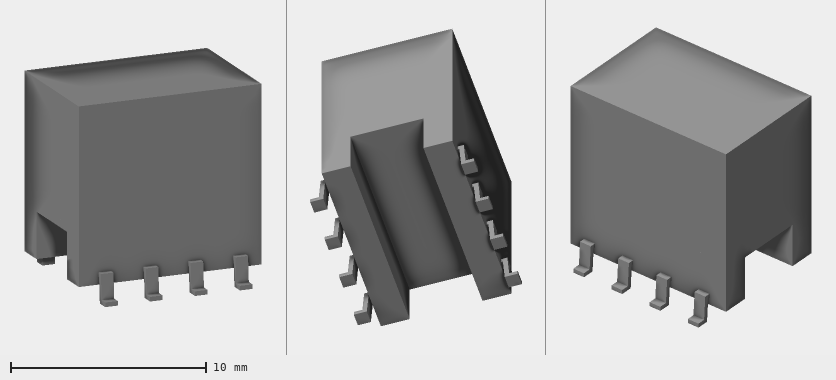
import cadquery as cq

BODY_WIDTH = 7.0
BODY_LENGTH = 10.2
TOP_Z = 10.61
LEAD_SPAN = 8.8

BASE_BOTTOM_Z = 0.95
PARTING_Z = 3.92
DECK_THICKNESS = 0.42
CHANNEL_WIDTH = 3.9

LEADS_PER_SIDE = 4
LEAD_PITCH = 2.5
LEAD_ROW_SHIFT = 0.1
LEAD_WIDTH = 0.7
LEAD_THICKNESS = 0.24
LEAD_TOP_Z = 1.61
SHOULDER_LENGTH = 0.34
LEG_SPLAY = 0.1
FOOT_LENGTH = 0.7


def make_cover():
    """Plain block that sits on the deck of the base."""
    return (
        cq.Workplane("XY")
        .workplane(offset=PARTING_Z)
        .rect(BODY_WIDTH, BODY_LENGTH)
        .extrude(TOP_Z - PARTING_Z)
    )


def make_base_body():
    """Base block with an open channel running through it along Y."""
    channel_height = PARTING_Z - DECK_THICKNESS - BASE_BOTTOM_Z
    floor = cq.Workplane("XY").workplane(offset=BASE_BOTTOM_Z)
    block = floor.rect(BODY_WIDTH, BODY_LENGTH).extrude(PARTING_Z - BASE_BOTTOM_Z)
    channel = floor.rect(CHANNEL_WIDTH, BODY_LENGTH).extrude(channel_height)
    return block.cut(channel)


def make_lead(side, y_center):
    """Gull-wing lead on the wall at side * BODY_WIDTH / 2, with its foot at Z = 0."""
    wall = BODY_WIDTH / 2
    toe = LEAD_SPAN / 2
    heel = toe - FOOT_LENGTH
    leg_top_outer = wall + SHOULDER_LENGTH
    leg_top_inner = heel - LEG_SPLAY
    leg_bottom_outer = leg_top_outer + LEG_SPLAY
    shoulder_bottom_z = LEAD_TOP_Z - LEAD_THICKNESS

    profile = [
        (wall, LEAD_TOP_Z),
        (leg_top_outer, LEAD_TOP_Z),
        (leg_bottom_outer, LEAD_THICKNESS),
        (toe, LEAD_THICKNESS),
        (toe, 0),
        (heel, 0),
        (leg_top_inner, shoulder_bottom_z),
        (wall, shoulder_bottom_z),
    ]
    return (
        cq.Workplane("XZ", origin=(0, y_center, 0))
        .polyline([(side * x, z) for x, z in profile])
        .close()
        .extrude(LEAD_WIDTH / 2, both=True)
    )


def make_base():
    """Base body with both rows of leads joined to it."""
    base = make_base_body()
    first_y = LEAD_ROW_SHIFT - LEAD_PITCH * (LEADS_PER_SIDE - 1) / 2
    for side in (-1, 1):
        for index in range(LEADS_PER_SIDE):
            base = base.union(make_lead(side, first_y + index * LEAD_PITCH))
    return base


cover = make_cover()
base = make_base()

result = cq.Compound.makeCompound([cover.val(), base.solids().val()])